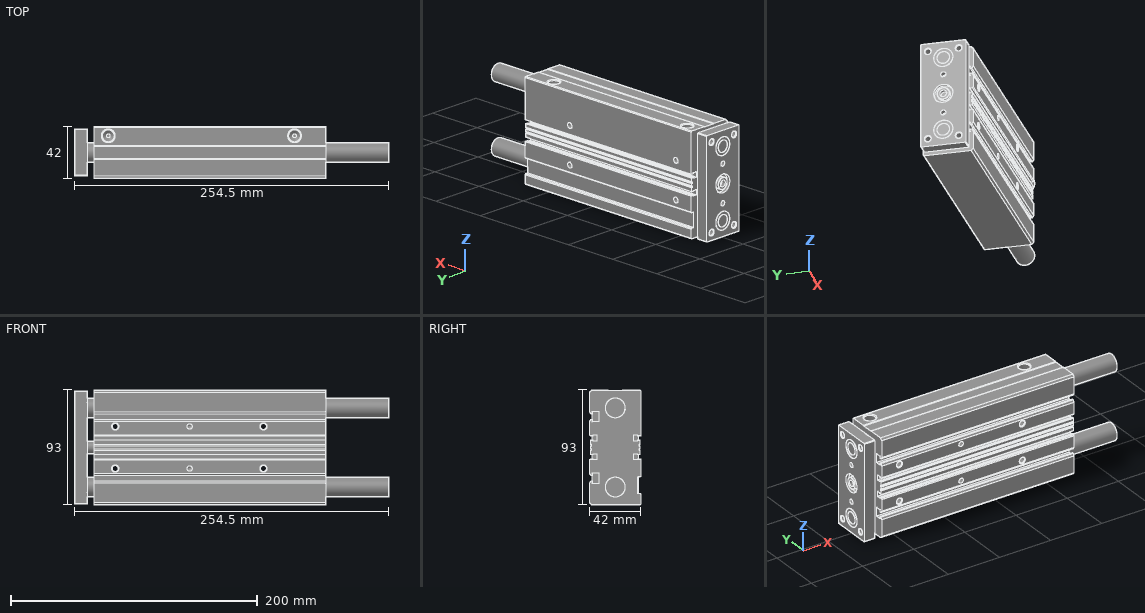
import cadquery as cq

OVERALL_LENGTH = 254.5

PLATE_THICKNESS = 10.2
PLATE_WIDTH = 38.0
PLATE_HEIGHT = 91.5
PLATE_CHAMFER = 0.5
PLATE_HOLE_DIAMETER = 4.8
PLATE_HOLE_MOUTH_DIAMETER = 5.9
PLATE_HOLE_SPACING_Y = 26.0
PLATE_HOLE_SPACING_Z = 78.0
PISTON_COUNTERBORE_DIAMETER = 16.0
PISTON_COUNTERBORE_DEPTH = 3.0

HOUSING_START = 15.5
HOUSING_LENGTH = 188.0
HOUSING_WIDTH = 42.0
HOUSING_HEIGHT = 93.0
FRONT_CHAMFER = 1.8
BACK_CHAMFER = 0.8
TOP_RECESS_MOUTH_WIDTH = 11.5
TOP_RECESS_FLOOR_WIDTH = 10.0
TOP_RECESS_DEPTH = 0.3

T_SLOT_Z = 25.0
T_SLOT_MOUTH_WIDTH = 8.0
T_SLOT_NECK_WIDTH = 4.3
T_SLOT_HEAD_WIDTH = 8.1
T_SLOT_CHAMFER_DEPTH = 1.3
T_SLOT_NECK_DEPTH = 2.5
T_SLOT_DEPTH = 7.6

SENSOR_SLOT_Z = 7.6
SENSOR_SLOT_NECK_WIDTH = 3.5
SENSOR_SLOT_HEAD_WIDTH = 4.5
SENSOR_SLOT_NECK_DEPTH = 3.0
SENSOR_SLOT_DEPTH = 6.0
SENSOR_SLOT_CHAMFER = 0.8
BAND_RECESS = 0.8
BAND_GROOVE_Z = 1.8
BAND_GROOVE_WIDTH = 1.3
BAND_GROOVE_DEPTH = 0.8

CHANNEL_Z = -30.5
CHANNEL_WIDTH = 13.2
CHANNEL_DEPTH = 3.0
CHANNEL_CHAMFER = 0.8

HOLE_ROW_Z = 17.0
PIN_HOLE_DIAMETER = 4.3
PIN_HOLE_DEPTH = 6.0
PIN_HOLE_TIP_DEPTH = 1.3

MOUNT_HOLE_XS = (32.8, 153.0)
MOUNT_HOLE_DIAMETER = 4.8
MOUNT_HOLE_MOUTH_DIAMETER = 5.9
PIN_HOLE_X = 93.1
PORT_XS = (27.2, 178.2)
PORT_Y = 13.5
PORT_DIAMETER = 9.7
PORT_MOUTH_DIAMETER = 11.2
PORT_DEPTH = 7.6
PORT_FLOOR_DEPTH = 2.5
PORT_BORE_DIAMETER = 3.0
PORT_BORE_DEPTH = 5.0

GUIDE_ROD_DIAMETER = 16.0
GUIDE_ROD_Z = 32.0
GUIDE_ROD_TIP_DIAMETER = 10.5
GUIDE_ROD_TIP_LENGTH = 0.3
PISTON_ROD_DIAMETER = 10.5
PISTON_ROD_LENGTH = 152.7
PISTON_ROD_CHAMFER = 0.3
PISTON_ROD_BORE_DIAMETER = 5.5
PISTON_ROD_BORE_DEPTH = 3.8

HALF_WIDTH = HOUSING_WIDTH / 2
HALF_HEIGHT = HOUSING_HEIGHT / 2
BAND_HALF_HEIGHT = SENSOR_SLOT_Z - SENSOR_SLOT_NECK_WIDTH / 2
FRONT = -1
BACK = 1
SIGNS = (-1, 1)
ALONG_X = cq.Vector(1, 0, 0)
ALONG_Y = cq.Vector(0, 1, 0)
DOWN = cq.Vector(0, 0, -1)


def cylinder(start, direction, diameter, length):
    return cq.Solid.makeCylinder(diameter / 2, length, cq.Vector(*start), direction)


def cone(start, direction, start_diameter, end_diameter, length):
    return cq.Solid.makeCone(start_diameter / 2, end_diameter / 2, length, cq.Vector(*start), direction)


def countersink(start, direction, mouth_diameter, hole_diameter):
    """45 degree cone that widens the mouth of a hole."""
    depth = (mouth_diameter - hole_diameter) / 2
    return cone(start, direction, mouth_diameter, hole_diameter, depth)


def pin_hole(start, direction):
    """Blind hole with a drill-point tip."""
    tip_start = (cq.Vector(*start) + direction * PIN_HOLE_DEPTH).toTuple()
    tip = cone(tip_start, direction, PIN_HOLE_DIAMETER, 0, PIN_HOLE_TIP_DEPTH)
    return cylinder(start, direction, PIN_HOLE_DIAMETER, PIN_HOLE_DEPTH).fuse(tip)


def housing_prism(outline):
    """Closed (y, z) outline drawn out over the housing length."""
    section = cq.Workplane("YZ", origin=(HOUSING_START, 0, 0)).polyline(outline).close()
    return section.extrude(HOUSING_LENGTH)


def side_slot(side, z, half_section):
    """Symmetric slot in one side, from (depth, half height) points listed from mouth to floor."""
    mirrored = [(depth, -height) for depth, height in reversed(half_section)]
    section = half_section + mirrored
    return housing_prism([(side * (HALF_WIDTH - depth), z + height) for depth, height in section])


def t_slot(z):
    mouth = T_SLOT_MOUTH_WIDTH / 2
    neck = T_SLOT_NECK_WIDTH / 2
    head = T_SLOT_HEAD_WIDTH / 2
    half_section = [
        (0, mouth),
        (T_SLOT_CHAMFER_DEPTH, neck),
        (T_SLOT_NECK_DEPTH, neck),
        (T_SLOT_NECK_DEPTH, head),
        (T_SLOT_DEPTH, head),
    ]
    return side_slot(FRONT, z, half_section)


def sensor_slot(side, z):
    neck = SENSOR_SLOT_NECK_WIDTH / 2
    head = SENSOR_SLOT_HEAD_WIDTH / 2
    half_section = [
        (0, neck),
        (SENSOR_SLOT_NECK_DEPTH, neck),
        (SENSOR_SLOT_NECK_DEPTH, head),
        (SENSOR_SLOT_DEPTH, head),
    ]
    return side_slot(side, z, half_section)


def sensor_slot_chamfer(sign):
    """Chamfer on the edge of a front sensor slot that is farther from the middle."""
    edge = SENSOR_SLOT_Z + SENSOR_SLOT_NECK_WIDTH / 2
    corner = [
        (-HALF_WIDTH, sign * edge),
        (-HALF_WIDTH, sign * (edge + SENSOR_SLOT_CHAMFER)),
        (-HALF_WIDTH + SENSOR_SLOT_CHAMFER, sign * edge),
    ]
    return housing_prism(corner)


def band(side):
    """Sets back the band between the two sensor slots of one side."""
    return side_slot(side, 0, [(0, BAND_HALF_HEIGHT), (BAND_RECESS, BAND_HALF_HEIGHT)])


def band_groove(side, z):
    half = BAND_GROOVE_WIDTH / 2
    return side_slot(side, z, [(BAND_RECESS, half), (BAND_RECESS + BAND_GROOVE_DEPTH, half)])


def channel():
    half = CHANNEL_WIDTH / 2
    half_section = [(0, half + CHANNEL_CHAMFER), (CHANNEL_CHAMFER, half), (CHANNEL_DEPTH, half)]
    return side_slot(BACK, CHANNEL_Z, half_section)


def housing_blank():
    """Block with chamfered long edges and a shallow recess along its top."""
    mouth = TOP_RECESS_MOUTH_WIDTH / 2
    floor = TOP_RECESS_FLOOR_WIDTH / 2
    floor_z = HALF_HEIGHT - TOP_RECESS_DEPTH
    outline = [
        (-HALF_WIDTH, -HALF_HEIGHT + FRONT_CHAMFER),
        (-HALF_WIDTH + FRONT_CHAMFER, -HALF_HEIGHT),
        (HALF_WIDTH - BACK_CHAMFER, -HALF_HEIGHT),
        (HALF_WIDTH, -HALF_HEIGHT + BACK_CHAMFER),
        (HALF_WIDTH, HALF_HEIGHT - BACK_CHAMFER),
        (HALF_WIDTH - BACK_CHAMFER, HALF_HEIGHT),
        (mouth, HALF_HEIGHT),
        (floor, floor_z),
        (-floor, floor_z),
        (-mouth, HALF_HEIGHT),
        (-HALF_WIDTH + FRONT_CHAMFER, HALF_HEIGHT),
        (-HALF_WIDTH, HALF_HEIGHT - FRONT_CHAMFER),
    ]
    return housing_prism(outline)


def cut_long_slots(housing):
    housing = housing.cut(channel())
    for sign in SIGNS:
        housing = housing.cut(t_slot(sign * T_SLOT_Z))
        housing = housing.cut(sensor_slot_chamfer(sign))
    for side in (FRONT, BACK):
        housing = housing.cut(band(side))
        for sign in SIGNS:
            housing = housing.cut(sensor_slot(side, sign * SENSOR_SLOT_Z))
            housing = housing.cut(band_groove(side, sign * BAND_GROOVE_Z))
    return housing


def cut_side_holes(housing):
    """Countersunk through holes and blind pin holes entering from the front side."""
    for z in (-HOLE_ROW_Z, HOLE_ROW_Z):
        for x in MOUNT_HOLE_XS:
            start = (x, -HALF_WIDTH, z)
            housing = housing.cut(cylinder(start, ALONG_Y, MOUNT_HOLE_DIAMETER, HOUSING_WIDTH))
            housing = housing.cut(countersink(start, ALONG_Y, MOUNT_HOLE_MOUTH_DIAMETER, MOUNT_HOLE_DIAMETER))
        housing = housing.cut(pin_hole((PIN_HOLE_X, -HALF_WIDTH, z), ALONG_Y))
    return housing


def cut_ports(housing):
    """Ports in the top, each with a conical floor that leads into a small bore."""
    floor_z = HALF_HEIGHT - PORT_DEPTH
    bore_z = floor_z - PORT_FLOOR_DEPTH
    for x in PORT_XS:
        mouth = (x, PORT_Y, HALF_HEIGHT)
        housing = housing.cut(cylinder(mouth, DOWN, PORT_DIAMETER, PORT_DEPTH))
        housing = housing.cut(countersink(mouth, DOWN, PORT_MOUTH_DIAMETER, PORT_DIAMETER))
        housing = housing.cut(
            cone((x, PORT_Y, floor_z), DOWN, PORT_DIAMETER, PORT_BORE_DIAMETER, PORT_FLOOR_DEPTH)
        )
        housing = housing.cut(cylinder((x, PORT_Y, bore_z), DOWN, PORT_BORE_DIAMETER, PORT_BORE_DEPTH))
    return housing


def cut_rod_bores(housing):
    for z in (-GUIDE_ROD_Z, GUIDE_ROD_Z):
        start = (HOUSING_START, 0, z)
        housing = housing.cut(cylinder(start, ALONG_X, GUIDE_ROD_DIAMETER, HOUSING_LENGTH))
    piston_bore_depth = PISTON_ROD_LENGTH - HOUSING_START
    return housing.cut(cylinder((HOUSING_START, 0, 0), ALONG_X, PISTON_ROD_DIAMETER, piston_bore_depth))


def make_housing():
    housing = cut_long_slots(housing_blank())
    housing = cut_side_holes(housing)
    housing = cut_ports(housing)
    return cut_rod_bores(housing)


def make_plate():
    plate = cq.Workplane("XY").box(
        PLATE_THICKNESS, PLATE_WIDTH, PLATE_HEIGHT, centered=(False, True, True)
    )
    plate = plate.edges("|X").chamfer(PLATE_CHAMFER)
    for sign in SIGNS:
        guide_start = (0, 0, sign * GUIDE_ROD_Z)
        plate = plate.cut(cylinder(guide_start, ALONG_X, GUIDE_ROD_DIAMETER, PLATE_THICKNESS))
        plate = plate.cut(pin_hole((0, 0, sign * HOLE_ROW_Z), ALONG_X))
        for y_sign in SIGNS:
            corner = (0, y_sign * PLATE_HOLE_SPACING_Y / 2, sign * PLATE_HOLE_SPACING_Z / 2)
            plate = plate.cut(cylinder(corner, ALONG_X, PLATE_HOLE_DIAMETER, PLATE_THICKNESS))
            plate = plate.cut(countersink(corner, ALONG_X, PLATE_HOLE_MOUTH_DIAMETER, PLATE_HOLE_DIAMETER))
    centre = (0, 0, 0)
    plate = plate.cut(cylinder(centre, ALONG_X, PISTON_COUNTERBORE_DIAMETER, PISTON_COUNTERBORE_DEPTH))
    return plate.cut(cylinder(centre, ALONG_X, PISTON_ROD_DIAMETER, PLATE_THICKNESS))


def make_guide_rod(z):
    """Rod through plate and housing, with a thin smaller tip flush with the plate."""
    front_end = cq.Workplane("YZ", origin=(0, 0, z))
    rod = front_end.circle(GUIDE_ROD_TIP_DIAMETER / 2).extrude(GUIDE_ROD_TIP_LENGTH)
    rod = rod.faces(">X").workplane().circle(GUIDE_ROD_DIAMETER / 2)
    return rod.extrude(OVERALL_LENGTH - GUIDE_ROD_TIP_LENGTH)


def make_piston_rod():
    """Rod from the plate into the housing, with a blind bore in its front end."""
    rod = cq.Workplane("YZ").circle(PISTON_ROD_DIAMETER / 2).extrude(PISTON_ROD_LENGTH)
    rod = rod.faces("<X").chamfer(PISTON_ROD_CHAMFER)
    return rod.cut(cylinder((0, 0, 0), ALONG_X, PISTON_ROD_BORE_DIAMETER, PISTON_ROD_BORE_DEPTH))


plate = make_plate().solids().val()
housing = make_housing().solids().val()
piston_rod = make_piston_rod().solids().val()
guide_rods = [make_guide_rod(sign * GUIDE_ROD_Z).solids().val() for sign in SIGNS]

result = cq.Compound.makeCompound([plate, housing, piston_rod, *guide_rods])